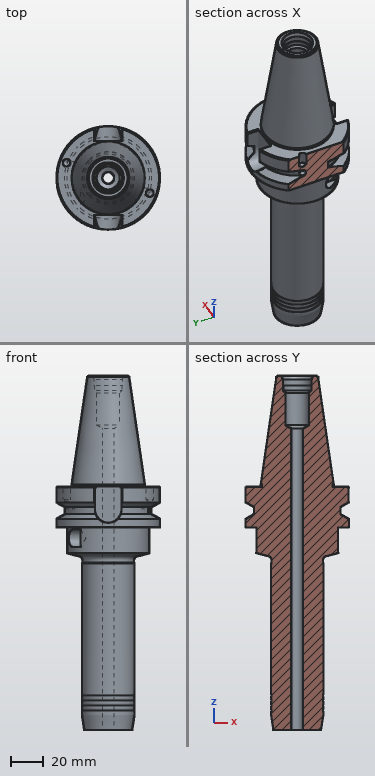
import cadquery as cq
import math


TAPER_LENGTH = 65.4
GAUGE_RADIUS = 44.45 / 2
TAPER_RATIO = 7 / 24
TAPER_END_RADIUS = GAUGE_RADIUS - TAPER_LENGTH * TAPER_RATIO / 2
TAPER_END_CHAMFER = 0.9
GAUGE_LAND_HEIGHT = 0.6
NECK_RADIUS = 21.7

FLANGE_RADIUS = 31.5
FLANGE_TOP = -2.0
FLANGE_BOTTOM = -27.0
FLANGE_TOP_CHAMFER = 0.6
FLANGE_BOTTOM_CHAMFER = 0.3
GROOVE_CENTRE = -16.6
GROOVE_FLOOR_RADIUS = 26.5
GROOVE_FLOOR_WIDTH = 4.2
GROOVE_FLANK_ANGLE = 30
GROOVE_FLANK_HEIGHT = (FLANGE_RADIUS - GROOVE_FLOOR_RADIUS) * math.tan(math.radians(GROOVE_FLANK_ANGLE))
GROOVE_FLOOR_TOP = GROOVE_CENTRE + GROOVE_FLOOR_WIDTH / 2
GROOVE_FLOOR_BOTTOM = GROOVE_CENTRE - GROOVE_FLOOR_WIDTH / 2

COLLAR_RADIUS = 25.0
COLLAR_BOTTOM = -42.5
COLLAR_CONE_ANGLE = 15
SLEEVE_RADIUS = 16.0
SLEEVE_NECK_RADIUS = 15.75
SLEEVE_TOP = -48.2
SLEEVE_TOP_CHAMFER_LENGTH = 0.6
SLEEVE_FILLET = 2.5
FILLET_TOP_RADIUS = SLEEVE_NECK_RADIUS + SLEEVE_FILLET
FILLET_TOP = COLLAR_BOTTOM - (COLLAR_RADIUS - FILLET_TOP_RADIUS) * math.tan(math.radians(COLLAR_CONE_ANGLE))
SLEEVE_BOTTOM = -150.0
NOSE_LENGTH = 9.0
NOSE_RADIUS = 14.6

RING_WIDTH = 1.9
RING_DEPTH = 0.25
RING_PITCH = 3.0
RING_COUNT = 4
LOWEST_RING_OFFSET = 12.0
LOWEST_RING = SLEEVE_BOTTOM + LOWEST_RING_OFFSET

SLOT_WIDTH = 16.1
SLOT_FLOOR = 22.4
SLOT_BOTTOM = -24.0
SLOT_CORNER_RADIUS = 0.6
SLOT_EDGE_CHAMFER = 0.6

BORE_MOUTH_RADIUS = 9.5
COUNTERBORE_RADIUS = 8.6
COUNTERBORE_DEPTH = 6.1
SOCKET_RADIUS = 8.4
SOCKET_DEPTH = 9.0
PILOT_RADIUS = 7.0
PILOT_DEPTH = 30.0
THROUGH_RADIUS = 3.5
MOUTH_ANGLE = 20
PILOT_MOUTH_ANGLE = 45
DRILL_POINT_ANGLE = 59

FACE_HOLE_RADIUS = 2.3
FACE_HOLE_CIRCLE = 26.9
FACE_HOLE_DEPTH = 8.0
GROOVE_HOLE_RADIUS = 2.0
GROOVE_HOLE_DEPTH = 4.0
FLANGE_HOLE_ANGLES = (160, 340)

POCKET_Y = -12.6
POCKET_Z = -33.4
POCKET_RADIUS = 5.2
POCKET_FLOOR_X = -16.7


def cone_depth(radius_change, angle):
    """Axial length of a cone whose side leans by angle from its axis."""
    return radius_change / math.tan(math.radians(angle))


def revolve_profile(profile):
    """Turn a closed profile, drawn as (radius, height), about the Z axis."""
    return profile.close().revolve(360, (0, 0, 0), (0, 1, 0))


def turned_body():
    """Solid of revolution: taper, flange, collar and sleeve, from top to bottom."""
    arc_offset = SLEEVE_FILLET * (1 - math.sqrt(0.5))
    profile = (
        cq.Workplane("XZ")
        .moveTo(0, TAPER_LENGTH)
        .lineTo(TAPER_END_RADIUS - TAPER_END_CHAMFER, TAPER_LENGTH)
        .lineTo(TAPER_END_RADIUS + TAPER_END_CHAMFER * TAPER_RATIO / 2, TAPER_LENGTH - TAPER_END_CHAMFER)
        .lineTo(GAUGE_RADIUS, 0)
        .lineTo(GAUGE_RADIUS, -GAUGE_LAND_HEIGHT)
        .lineTo(NECK_RADIUS, -GAUGE_LAND_HEIGHT)
        .lineTo(NECK_RADIUS, FLANGE_TOP)
        .lineTo(FLANGE_RADIUS - FLANGE_TOP_CHAMFER, FLANGE_TOP)
        .lineTo(FLANGE_RADIUS, FLANGE_TOP - FLANGE_TOP_CHAMFER)
        .lineTo(FLANGE_RADIUS, GROOVE_FLOOR_TOP + GROOVE_FLANK_HEIGHT)
        .lineTo(GROOVE_FLOOR_RADIUS, GROOVE_FLOOR_TOP)
        .lineTo(GROOVE_FLOOR_RADIUS, GROOVE_FLOOR_BOTTOM)
        .lineTo(FLANGE_RADIUS, GROOVE_FLOOR_BOTTOM - GROOVE_FLANK_HEIGHT)
        .lineTo(FLANGE_RADIUS, FLANGE_BOTTOM + FLANGE_BOTTOM_CHAMFER)
        .lineTo(FLANGE_RADIUS - FLANGE_BOTTOM_CHAMFER, FLANGE_BOTTOM)
        .lineTo(COLLAR_RADIUS, FLANGE_BOTTOM)
        .lineTo(COLLAR_RADIUS, COLLAR_BOTTOM)
        .lineTo(FILLET_TOP_RADIUS, FILLET_TOP)
        .threePointArc(
            (SLEEVE_NECK_RADIUS + arc_offset, FILLET_TOP - arc_offset),
            (SLEEVE_NECK_RADIUS, FILLET_TOP - SLEEVE_FILLET),
        )
        .lineTo(SLEEVE_NECK_RADIUS, SLEEVE_TOP)
        .lineTo(SLEEVE_RADIUS, SLEEVE_TOP - SLEEVE_TOP_CHAMFER_LENGTH)
        .lineTo(SLEEVE_RADIUS, SLEEVE_BOTTOM + NOSE_LENGTH)
        .lineTo(NOSE_RADIUS, SLEEVE_BOTTOM)
        .lineTo(0, SLEEVE_BOTTOM)
    )
    return revolve_profile(profile)


def axial_bore():
    """Stepped bore from the taper end, with a through hole down to the nose."""
    mouth_depth = cone_depth(BORE_MOUTH_RADIUS - COUNTERBORE_RADIUS, MOUTH_ANGLE)
    pilot_top_depth = SOCKET_DEPTH + cone_depth(SOCKET_RADIUS - PILOT_RADIUS, PILOT_MOUTH_ANGLE)
    point_depth = PILOT_DEPTH + cone_depth(PILOT_RADIUS - THROUGH_RADIUS, DRILL_POINT_ANGLE)
    profile = (
        cq.Workplane("XZ")
        .moveTo(0, TAPER_LENGTH)
        .lineTo(BORE_MOUTH_RADIUS, TAPER_LENGTH)
        .lineTo(COUNTERBORE_RADIUS, TAPER_LENGTH - mouth_depth)
        .lineTo(COUNTERBORE_RADIUS, TAPER_LENGTH - COUNTERBORE_DEPTH)
        .lineTo(SOCKET_RADIUS, TAPER_LENGTH - COUNTERBORE_DEPTH)
        .lineTo(SOCKET_RADIUS, TAPER_LENGTH - SOCKET_DEPTH)
        .lineTo(PILOT_RADIUS, TAPER_LENGTH - pilot_top_depth)
        .lineTo(PILOT_RADIUS, TAPER_LENGTH - PILOT_DEPTH)
        .lineTo(THROUGH_RADIUS, TAPER_LENGTH - point_depth)
        .lineTo(THROUGH_RADIUS, SLEEVE_BOTTOM)
        .lineTo(0, SLEEVE_BOTTOM)
    )
    return revolve_profile(profile)


def ring_groove(height):
    """V-shaped ring that cuts the sleeve at the given height."""
    profile = (
        cq.Workplane("XZ")
        .moveTo(SLEEVE_RADIUS, height + RING_WIDTH / 2)
        .lineTo(SLEEVE_RADIUS - RING_DEPTH, height)
        .lineTo(SLEEVE_RADIUS, height - RING_WIDTH / 2)
    )
    return revolve_profile(profile)


def drive_slot():
    """Round-ended slot on the -Y side, open at the flange top."""
    half_width = SLOT_WIDTH / 2
    arc_centre = SLOT_BOTTOM + half_width
    return (
        cq.Workplane("XZ", origin=(0, -SLOT_FLOOR, 0))
        .moveTo(-half_width, 0)
        .lineTo(-half_width, arc_centre)
        .threePointArc((0, SLOT_BOTTOM), (half_width, arc_centre))
        .lineTo(half_width, 0)
        .close()
        .extrude(FLANGE_RADIUS)
        .edges(">Y")
        .edges("not >Z")
        .fillet(SLOT_CORNER_RADIUS)
    )


def slot_edge_chamfers():
    """Wedges that break the slot edges at the flange top and on the upper flange rim, -Y side."""
    half_width = SLOT_WIDTH / 2
    wide = half_width + SLOT_EDGE_CHAMFER
    rim_y = -math.sqrt(FLANGE_RADIUS**2 - wide**2)
    top_wedge = (
        cq.Workplane("XZ", origin=(0, -SLOT_FLOOR, 0))
        .moveTo(-wide, FLANGE_TOP)
        .lineTo(wide, FLANGE_TOP)
        .lineTo(half_width, FLANGE_TOP - SLOT_EDGE_CHAMFER)
        .lineTo(-half_width, FLANGE_TOP - SLOT_EDGE_CHAMFER)
        .close()
        .extrude(FLANGE_RADIUS - SLOT_FLOOR)
    )
    rim_wedge = (
        cq.Workplane("XY", origin=(0, 0, GROOVE_FLOOR_TOP))
        .moveTo(-half_width, rim_y + SLOT_EDGE_CHAMFER)
        .lineTo(half_width, rim_y + SLOT_EDGE_CHAMFER)
        .lineTo(wide, rim_y)
        .lineTo(wide, -FLANGE_RADIUS)
        .lineTo(-wide, -FLANGE_RADIUS)
        .lineTo(-wide, rim_y)
        .close()
        .extrude(FLANGE_TOP - GROOVE_FLOOR_TOP)
    )
    return top_wedge.union(rim_wedge)


def drilled_hole(radius, length):
    """Hole along -Z from the origin, ending in a drill point below its full-width length."""
    profile = (
        cq.Workplane("XZ")
        .lineTo(radius, 0)
        .lineTo(radius, -length)
        .lineTo(0, -length - cone_depth(radius, DRILL_POINT_ANGLE))
    )
    return revolve_profile(profile)


def face_hole(angle):
    """Blind axial hole in the flange face."""
    return (
        drilled_hole(FACE_HOLE_RADIUS, FACE_HOLE_DEPTH)
        .translate((FACE_HOLE_CIRCLE, 0, FLANGE_TOP))
        .rotate((0, 0, 0), (0, 0, 1), angle)
    )


def groove_hole(angle):
    """Radial hole in the floor of the gripper groove."""
    length = FLANGE_RADIUS - GROOVE_FLOOR_RADIUS + GROOVE_HOLE_DEPTH
    return (
        drilled_hole(GROOVE_HOLE_RADIUS, length)
        .rotate((0, 0, 0), (0, 1, 0), 90)
        .translate((FLANGE_RADIUS, 0, GROOVE_CENTRE))
        .rotate((0, 0, 0), (0, 0, 1), angle)
    )


def side_pocket():
    """Drilled hole along X with a flat-floored run-out towards -Y."""
    depth = COLLAR_RADIUS + POCKET_FLOOR_X
    hole = (
        drilled_hole(POCKET_RADIUS, depth)
        .rotate((0, 0, 0), (0, 1, 0), -90)
        .translate((-COLLAR_RADIUS, POCKET_Y, POCKET_Z))
    )
    run_out_length = COLLAR_RADIUS + POCKET_Y
    run_out = cq.Workplane("XY").box(depth, run_out_length, 2 * POCKET_RADIUS).translate(
        (-COLLAR_RADIUS + depth / 2, POCKET_Y - run_out_length / 2, POCKET_Z)
    )
    return hole.union(run_out)


body = turned_body().cut(axial_bore())

for ring_index in range(RING_COUNT):
    body = body.cut(ring_groove(LOWEST_RING + ring_index * RING_PITCH))

slot = drive_slot().union(slot_edge_chamfers())
for slot_angle in (0, 180):
    body = body.cut(slot.rotate((0, 0, 0), (0, 0, 1), slot_angle))

for hole_angle in FLANGE_HOLE_ANGLES:
    body = body.cut(face_hole(hole_angle)).cut(groove_hole(hole_angle))

result = body.cut(side_pocket())